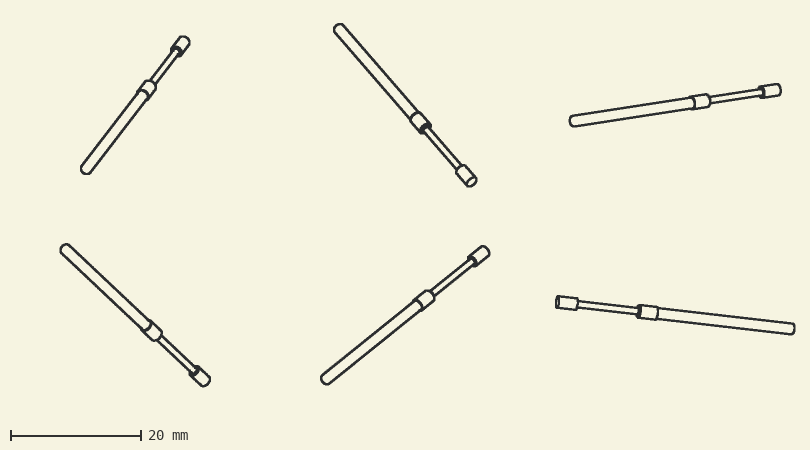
import cadquery as cq

total_length = 37.8
collar_diameter = 2.0
head_diameter = 1.8
barrel_diameter = 1.7
plunger_diameter = 1.02

head_length = 3.0
plunger_length = 9.83
collar_length = 3.0
barrel_length = total_length - head_length - plunger_length - collar_length

collar_chamfer = 0.23
barrel_end_radius = 0.4

barrel_start = -total_length / 2
collar_start = barrel_start + barrel_length
plunger_start = collar_start + collar_length
head_start = plunger_start + plunger_length


def cylinder_along_y(diameter, start, length):
    """Solid cylinder running in +Y from the given start position."""
    base = cq.Workplane("XZ", origin=(0, start, 0))
    return base.circle(diameter / 2).extrude(-length)


barrel = cylinder_along_y(barrel_diameter, barrel_start, barrel_length)
barrel = barrel.faces("<Y").edges().fillet(barrel_end_radius)

collar = cylinder_along_y(collar_diameter, collar_start, collar_length)
collar = collar.faces(">Y").edges().chamfer(collar_chamfer)

plunger = cylinder_along_y(plunger_diameter, plunger_start, plunger_length)
head = cylinder_along_y(head_diameter, head_start, head_length)

result = barrel.union(collar).union(plunger).union(head)